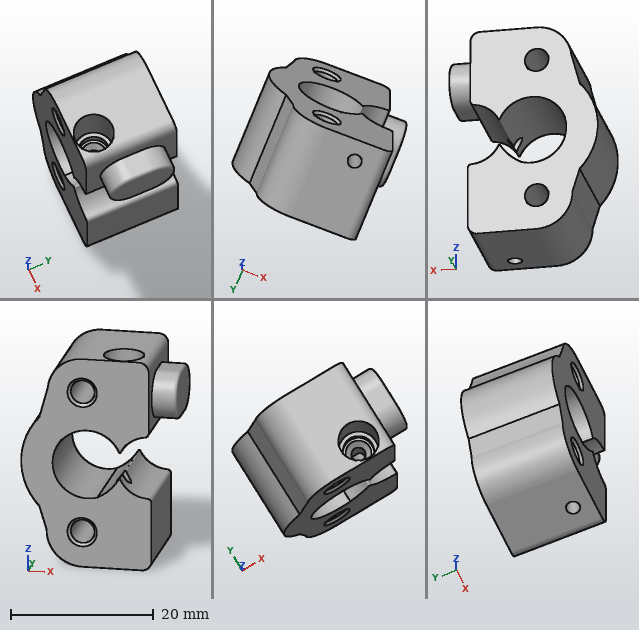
import cadquery as cq
import math

depth = 13.98
bore_radius = 5.0
outer_radius = 9.48
top_z = 15.48
bottom_z = top_z - 30.6
upper_right_x = 8.78
lower_right_x = 9.18

lug_x = -0.73
upper_lug_z = 10.52
lower_lug_z = -10.0
upper_lug_radius = top_z - upper_lug_z
lower_lug_radius = lower_lug_z - bottom_z
upper_arc_end_z = 11.0
lower_arc_end_z = -9.9
waist_z = 6.52
cross_hole_diameter = 3.4
cross_chamfer_diameter = 4.22

mouth_radius = 4.5
tip_x = 4.65
tip_z = 1.8
upper_tip_radius = 0.1
lower_tip_radius = 0.15
corner_radius = 1.4
mouth_corner_radius = 0.6

pad_start = (1.45, -4.77)
pad_middle = (3.5, -3.27)
pad_end = (4.65, -1.68)
pad_root = (5.05, -5.05)

screw_x = 4.65
screw_y = -3.95
counterbore_diameter = 5.65
counterbore_floor_z = 8.55
step_diameter = 4.4
step_floor_z = 7.35
cone_diameter = 3.6
through_diameter = 2.0

boss_end_x = 12.3
boss_length = 9.97
boss_height = 6.85
boss_y = 0.18
boss_z = 9.35
boss_edge_radius = 0.45


def make_body():
    waist_x = -math.sqrt(outer_radius**2 - waist_z**2)
    upper_end_x = lug_x - math.sqrt(upper_lug_radius**2 - (upper_arc_end_z - upper_lug_z) ** 2)
    lower_end_x = lug_x - math.sqrt(lower_lug_radius**2 - (lower_arc_end_z - lower_lug_z) ** 2)
    diagonal = math.sqrt(0.5)
    outline = (
        cq.Workplane("XZ", origin=(0, depth / 2, 0))
        .moveTo(lug_x, top_z)
        .lineTo(upper_right_x, top_z)
        .lineTo(upper_right_x, 0)
        .lineTo(lower_right_x, 0)
        .lineTo(lower_right_x, bottom_z)
        .lineTo(lug_x, bottom_z)
        .threePointArc(
            (lug_x - lower_lug_radius * diagonal, lower_lug_z - lower_lug_radius * diagonal),
            (lower_end_x, lower_arc_end_z),
        )
        .lineTo(waist_x, -waist_z)
        .threePointArc((-outer_radius, 0), (waist_x, waist_z))
        .lineTo(upper_end_x, upper_arc_end_z)
        .threePointArc(
            (lug_x - upper_lug_radius * diagonal, upper_lug_z + upper_lug_radius * diagonal),
            (lug_x, top_z),
        )
        .close()
    )
    return outline.extrude(depth)


def y_cylinder(x, z, radius):
    return cq.Workplane("XZ", origin=(x, depth / 2, z)).circle(radius).extrude(depth)


def make_pad():
    return (
        cq.Workplane("XZ", origin=(0, depth / 2, 0))
        .moveTo(*pad_start)
        .threePointArc(pad_middle, pad_end)
        .lineTo(*pad_root)
        .close()
        .extrude(depth)
    )


def cut_opening(body):
    mouth = y_cylinder(upper_right_x, 0, mouth_radius)
    return body.cut(y_cylinder(0, 0, bore_radius)).union(make_pad()).cut(mouth)


def round_tips(body):
    for z, radius in ((tip_z, upper_tip_radius), (-tip_z, lower_tip_radius)):
        body = body.edges(cq.selectors.NearestToPointSelector((tip_x, 0, z))).fillet(radius)
    return body


def round_corners(body):
    for x, z, mouth_side in (
        (upper_right_x, top_z, 1),
        (lower_right_x, bottom_z, -1),
    ):
        body = body.edges(cq.selectors.NearestToPointSelector((x, 0, z))).fillet(corner_radius)
        mouth_z = mouth_side * math.sqrt(mouth_radius**2 - (x - upper_right_x) ** 2)
        body = body.edges(cq.selectors.NearestToPointSelector((x, 0, mouth_z))).fillet(mouth_corner_radius)
    return body


def cut_cross_holes(body):
    chamfer = (cross_chamfer_diameter - cross_hole_diameter) / 2
    for z in (upper_lug_z, lower_lug_z):
        body = body.cut(y_cylinder(lug_x, z, cross_hole_diameter / 2))
        countersink = cq.Solid.makeCone(
            cross_chamfer_diameter / 2,
            cross_hole_diameter / 2,
            chamfer,
            pnt=cq.Vector(lug_x, -depth / 2, z),
            dir=cq.Vector(0, 1, 0),
        )
        body = body.cut(cq.Workplane(countersink))
    return body


def cut_stepped_hole(body):
    cone_end_z = step_floor_z - (cone_diameter - through_diameter) / 2
    half_section = [
        (0, top_z),
        (counterbore_diameter / 2, top_z),
        (counterbore_diameter / 2, counterbore_floor_z),
        (step_diameter / 2, counterbore_floor_z),
        (step_diameter / 2, step_floor_z),
        (cone_diameter / 2, step_floor_z),
        (through_diameter / 2, cone_end_z),
        (through_diameter / 2, bottom_z),
        (0, bottom_z),
    ]
    cutter = (
        cq.Workplane("XZ", origin=(screw_x, screw_y, 0))
        .polyline(half_section)
        .close()
        .revolve(360, (0, 0, 0), (0, 1, 0))
    )
    return body.cut(cutter)


def make_boss():
    return (
        cq.Workplane("YZ", origin=(upper_right_x, boss_y, boss_z))
        .slot2D(boss_length, boss_height)
        .extrude(boss_end_x - upper_right_x)
        .faces(">X")
        .edges()
        .fillet(boss_edge_radius)
    )


body = round_corners(round_tips(cut_opening(make_body())))
body = cut_stepped_hole(cut_cross_holes(body))
result = body.union(make_boss())